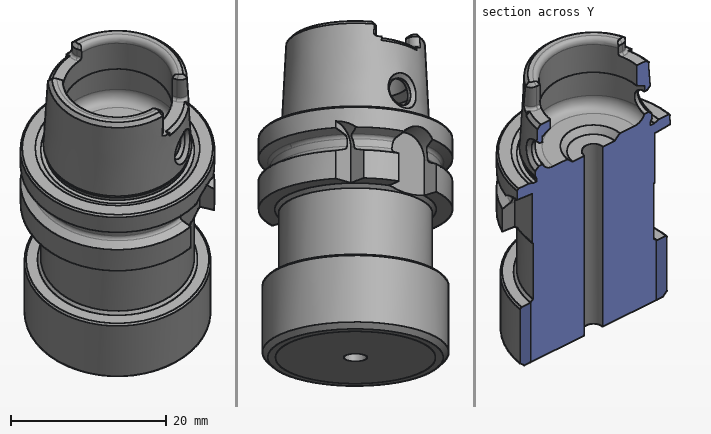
import cadquery as cq
import math

BOTTOM_Z = -30.0

SHANK_TOP_Z = 12.9
TAPER_BOTTOM_Z = 0.7
TAPER_TOP_R = 8.93
TAPER_BOTTOM_R = 9.55
RIM_CHAMFER = 0.5

RELIEF_TOP_R = 9.45
RELIEF_TOP_Z = 0.4
RELIEF_ROOT_R = 9.3
RELIEF_ROOT_Z = 0.15
RELIEF_DEPTH = 0.3
RELIEF_FLOOR_R = 9.88
RELIEF_EDGE_R = 10.58

BORE_MOUTH_R = 7.02
BORE_MOUTH_FILLET = 0.83
CHAMBER_R = 8.3
CHAMBER_SHOULDER_Z = 7.4
CHAMBER_SHOULDER_HEIGHT = 0.74
CHAMBER_FLOOR_Z = 0.88
CHAMBER_FLOOR_FILLET = 1.65
SEAT_TOP_R = 4.27
SEAT_BOTTOM_R = 3.42
COOLANT_HOLE_R = 1.5

FLANGE_R = 12.5
FLANGE_BOTTOM_Z = -9.85
FLANGE_CHAMFER = 0.25
GROOVE_R = 11.0
GROOVE_Z = -4.5
GROOVE_MOUTH_WIDTH = 3.12
GROOVE_WALL_ANGLE = 24.5
GROOVE_FILLET = 0.58

NECK_R = 9.9
NECK_FLARE_TOP = 0.5
SPIGOT_R = 10.3
NECK_FLARE_BOTTOM = SPIGOT_R - NECK_R

NUT_R = 12.0
NUT_TOP_Z = -20.0
NUT_TOP_CHAMFER = 0.25
NUT_BOTTOM_CHAMFER = 0.7

DRIVE_SLOT_WIDTH = 6.0
DRIVE_SLOT_FLOOR_Z = {-1: 10.8, 1: 8.85}
DRIVE_SLOT_INNER_X = 3.0
RIM_NOSE_R = 1.1
RIM_NOSE_X = 7.0
DRIVE_SLOT_FLOOR_FILLET = 0.4

CROSS_HOLE_R = 1.83
CROSS_HOLE_Z = 3.9
COUNTERSINK_CHAMFER = 0.55

KEYWAY_FLAT_X = 10.0
KEYWAY_HALF_WIDTH = {-1: 3.0, 1: 3.6}
KEYWAY_TOP_Z = -2.05
KEYWAY_DRAFT = 5.0
NOTCH_FLAT_X = 7.5
NOTCH_WALL_Y = 7.4
NOTCH_R = 3.0
NOTCH_TOP_Z = -2.0
OVERRUN = 1.0


def revolve(outline):
    return outline.close().revolve(360, (0, 0, 0), (0, 1, 0))


def shank_radius(z):
    slope = (TAPER_BOTTOM_R - TAPER_TOP_R) / (SHANK_TOP_Z - TAPER_BOTTOM_Z)
    return TAPER_BOTTOM_R - slope * (z - TAPER_BOTTOM_Z)


def turned_blank():
    groove_bottom = GROOVE_Z - GROOVE_MOUTH_WIDTH / 2
    groove_top = GROOVE_Z + GROOVE_MOUTH_WIDTH / 2
    wall_height = (FLANGE_R - GROOVE_R) * math.tan(math.radians(GROOVE_WALL_ANGLE))
    outline = (
        cq.Workplane("YZ")
        .moveTo(0, BOTTOM_Z)
        .lineTo(SPIGOT_R, BOTTOM_Z)
        .lineTo(SPIGOT_R, NUT_TOP_Z)
        .lineTo(NECK_R, NUT_TOP_Z + NECK_FLARE_BOTTOM)
        .lineTo(NECK_R, FLANGE_BOTTOM_Z - NECK_FLARE_TOP)
        .lineTo(NECK_R + NECK_FLARE_TOP, FLANGE_BOTTOM_Z)
        .lineTo(FLANGE_R, FLANGE_BOTTOM_Z)
        .lineTo(FLANGE_R, groove_bottom)
        .lineTo(GROOVE_R, groove_bottom + wall_height)
        .lineTo(GROOVE_R, groove_top - wall_height)
        .lineTo(FLANGE_R, groove_top)
        .lineTo(FLANGE_R, -FLANGE_CHAMFER)
        .lineTo(FLANGE_R - FLANGE_CHAMFER, 0)
        .lineTo(RELIEF_EDGE_R, 0)
        .lineTo(RELIEF_FLOOR_R, -RELIEF_DEPTH)
        .lineTo(RELIEF_ROOT_R, -RELIEF_DEPTH)
        .lineTo(RELIEF_ROOT_R, RELIEF_ROOT_Z)
        .lineTo(RELIEF_TOP_R, RELIEF_TOP_Z)
        .lineTo(TAPER_BOTTOM_R, TAPER_BOTTOM_Z)
        .lineTo(shank_radius(SHANK_TOP_Z - RIM_CHAMFER), SHANK_TOP_Z - RIM_CHAMFER)
        .lineTo(shank_radius(SHANK_TOP_Z - RIM_CHAMFER) - RIM_CHAMFER, SHANK_TOP_Z)
        .lineTo(0, SHANK_TOP_Z)
    )
    groove_floor = cq.selectors.BoxSelector(
        (-FLANGE_R, -FLANGE_R, groove_bottom + wall_height / 2),
        (FLANGE_R, FLANGE_R, groove_top - wall_height / 2),
    )
    return revolve(outline).edges(groove_floor).edges("%CIRCLE").fillet(GROOVE_FILLET)


def bore():
    mouth_z = SHANK_TOP_Z - BORE_MOUTH_FILLET
    bend = math.sqrt(0.5)
    mouth_center_r = BORE_MOUTH_R + BORE_MOUTH_FILLET
    floor_center_r = CHAMBER_R - CHAMBER_FLOOR_FILLET
    floor_center_z = CHAMBER_FLOOR_Z + CHAMBER_FLOOR_FILLET
    seat_z = CHAMBER_FLOOR_Z - (SEAT_TOP_R - SEAT_BOTTOM_R)
    outline = (
        cq.Workplane("YZ")
        .moveTo(0, BOTTOM_Z)
        .lineTo(COOLANT_HOLE_R, BOTTOM_Z)
        .lineTo(COOLANT_HOLE_R, seat_z)
        .lineTo(SEAT_BOTTOM_R, seat_z)
        .lineTo(SEAT_TOP_R, CHAMBER_FLOOR_Z)
        .lineTo(floor_center_r, CHAMBER_FLOOR_Z)
        .threePointArc(
            (floor_center_r + bend * CHAMBER_FLOOR_FILLET, floor_center_z - bend * CHAMBER_FLOOR_FILLET),
            (CHAMBER_R, floor_center_z),
        )
        .lineTo(CHAMBER_R, CHAMBER_SHOULDER_Z - CHAMBER_SHOULDER_HEIGHT)
        .lineTo(BORE_MOUTH_R, CHAMBER_SHOULDER_Z)
        .lineTo(BORE_MOUTH_R, mouth_z)
        .threePointArc(
            (mouth_center_r - bend * BORE_MOUTH_FILLET, mouth_z + bend * BORE_MOUTH_FILLET),
            (mouth_center_r, SHANK_TOP_Z),
        )
        .lineTo(0, SHANK_TOP_Z)
    )
    return revolve(outline)


def drive_slot(side):
    """Slot cutter that opens wide at its outer end, so that the ends of the rim become rounded noses."""
    half = DRIVE_SLOT_WIDTH / 2
    floor_z = DRIVE_SLOT_FLOOR_Z[side]
    nose_end_x = RIM_NOSE_X + RIM_NOSE_R
    nose_end_y = half + RIM_NOSE_R
    flare_y = nose_end_y + OVERRUN

    def plan(z):
        return (
            cq.Workplane("XY")
            .workplane(offset=z)
            .moveTo(DRIVE_SLOT_INNER_X, -half)
            .lineTo(RIM_NOSE_X, -half)
            .radiusArc((nose_end_x, -nose_end_y), RIM_NOSE_R)
            .lineTo(nose_end_x, -flare_y)
            .lineTo(FLANGE_R, -flare_y)
            .lineTo(FLANGE_R, flare_y)
            .lineTo(nose_end_x, flare_y)
            .lineTo(nose_end_x, nose_end_y)
            .radiusArc((RIM_NOSE_X, half), RIM_NOSE_R)
            .lineTo(DRIVE_SLOT_INNER_X, half)
            .close()
        )

    channel = (
        plan(floor_z)
        .extrude(SHANK_TOP_Z - floor_z)
        .faces("<Z")
        .edges("not(<X or >X)")
        .fillet(DRIVE_SLOT_FLOOR_FILLET)
    )
    rim_chamfer = plan(SHANK_TOP_Z - RIM_CHAMFER).extrude(RIM_CHAMFER, taper=-45)
    cutter = channel.union(rim_chamfer)
    return cutter if side > 0 else cutter.mirror("YZ")


def drive_slot_chamfer(side):
    """Ring of triangular section that breaks the outer edge of a drive slot's floor."""
    floor_z = DRIVE_SLOT_FLOOR_Z[side]
    outer_r = shank_radius(floor_z) + OVERRUN
    inner_r = shank_radius(floor_z) - RIM_CHAMFER
    ring = revolve(
        cq.Workplane("YZ")
        .moveTo(inner_r, floor_z)
        .lineTo(outer_r, floor_z)
        .lineTo(outer_r, floor_z - (outer_r - inner_r))
    )
    slot_side = cq.Workplane("XY").box(
        FLANGE_R, DRIVE_SLOT_WIDTH, SHANK_TOP_Z, centered=(False, True, False)
    )
    cutter = ring.intersect(slot_side)
    return cutter if side > 0 else cutter.mirror("YZ")


def cross_hole():
    return (
        cq.Workplane("YZ")
        .workplane(offset=-FLANGE_R)
        .center(0, CROSS_HOLE_Z)
        .circle(CROSS_HOLE_R)
        .extrude(2 * FLANGE_R)
    )


def arch(workplane, center_y, top_z, radius):
    """Outline of a slot with a round top that runs out below the flange."""
    bottom_z = FLANGE_BOTTOM_Z - OVERRUN
    spring_z = top_z - radius
    return (
        workplane.moveTo(center_y - radius, bottom_z)
        .lineTo(center_y + radius, bottom_z)
        .lineTo(center_y + radius, spring_z)
        .threePointArc((center_y, top_z), (center_y - radius, spring_z))
        .close()
    )


def keyway(side):
    flat = cq.Workplane("YZ").workplane(offset=KEYWAY_FLAT_X)
    depth = FLANGE_R - KEYWAY_FLAT_X + OVERRUN
    cutter = arch(flat, 0, KEYWAY_TOP_Z, KEYWAY_HALF_WIDTH[side]).extrude(depth, taper=-KEYWAY_DRAFT)
    return cutter if side > 0 else cutter.mirror("YZ")


def notch():
    flat = cq.Workplane("YZ").workplane(offset=-NOTCH_FLAT_X)
    return arch(flat, NOTCH_WALL_Y + NOTCH_R, NOTCH_TOP_Z, NOTCH_R).extrude(NOTCH_FLAT_X - FLANGE_R)


def countersink(body):
    """Chamfers the two edges where the cross hole leaves the taper."""
    mouth_zone = CROSS_HOLE_R + COUNTERSINK_CHAMFER
    for side in (-1, 1):
        inner_x = side * (CHAMBER_R + OVERRUN / 2)
        outer_x = side * FLANGE_R
        mouth = cq.selectors.BoxSelector(
            (inner_x, -mouth_zone, CROSS_HOLE_Z - mouth_zone),
            (outer_x, mouth_zone, CROSS_HOLE_Z + mouth_zone),
        )
        body = body.edges(mouth).chamfer(COUNTERSINK_CHAMFER)
    return body


def make_body():
    body = turned_blank().cut(bore())
    for side in (-1, 1):
        body = body.cut(drive_slot(side)).cut(drive_slot_chamfer(side))
        body = body.cut(keyway(side))
    body = body.cut(notch()).cut(cross_hole())
    return countersink(body)


def make_nut():
    """Ring around the spigot, flush with its lower end."""
    blank = cq.Workplane("XY").workplane(offset=BOTTOM_Z).circle(NUT_R).extrude(NUT_TOP_Z - BOTTOM_Z)
    blank = blank.faces("<Z").chamfer(NUT_BOTTOM_CHAMFER)
    blank = blank.faces(">Z").chamfer(NUT_TOP_CHAMFER)
    return blank.faces(">Z").workplane().circle(SPIGOT_R).cutThruAll()


body = make_body()
nut = make_nut()
result = cq.Compound.makeCompound([body.val(), nut.val()])